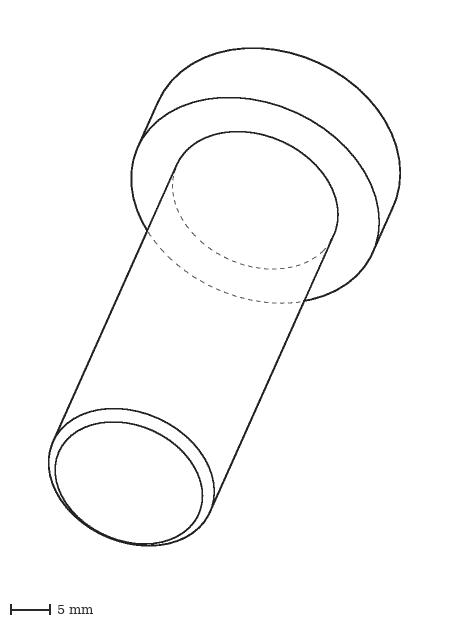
import cadquery as cq

total_length = 72.0
head_length = 12.0
shank_length = total_length - head_length
head_diameter = 33.0
shank_diameter = 22.0
head_edge_radius = 2.3
tip_chamfer = 1.2


def make_head():
    """Disc from Y = 0 to +Y with its outer rim rounded."""
    head = cq.Workplane("XZ").circle(head_diameter / 2).extrude(-head_length)
    return head.faces(">Y").edges().fillet(head_edge_radius)


def make_shank():
    """Plain cylinder from Y = 0 to -Y with a chamfered tip."""
    shank = cq.Workplane("XZ").circle(shank_diameter / 2).extrude(shank_length)
    return shank.faces("<Y").edges().chamfer(tip_chamfer)


result = make_head().union(make_shank())